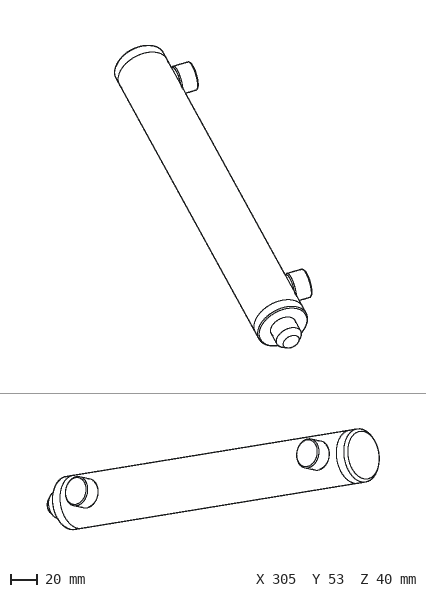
import cadquery as cq

overall_length = 305.0
overall_width = 53.0
barrel_diameter = 40.0
barrel_radius = barrel_diameter / 2

cap_length = 9.5
gland_start = 280.5
gland_end = 288.8
cap_chamfer = 2.0
gland_chamfer = 1.0

rod_diameter = 20.0
rod_tip_diameter = 12.8
rod_taper_length = 4.5

port_diameter = 22.0
port_reach = overall_width - barrel_radius
port_chamfer = 1.0
port_positions = (26.8, 253.8)
port_seat = 19.5


def rod_along_x(start, end, diameter):
    """Plain round bar on the X axis between two X positions."""
    return cq.Workplane("YZ").workplane(offset=start).circle(diameter / 2).extrude(end - start)


def make_port(x):
    """Round port, chamfered at both ends, standing on the barrel."""
    return (
        cq.Workplane("XZ", origin=(x, port_seat, 0))
        .circle(port_diameter / 2)
        .extrude(port_seat - port_reach)
        .faces("<Y or >Y")
        .chamfer(port_chamfer)
    )


def make_end_cap():
    return rod_along_x(0, cap_length, barrel_diameter).faces("<X").chamfer(cap_chamfer)


def make_barrel(ports):
    """Barrel with a shallow seat cut for each port."""
    barrel = rod_along_x(cap_length, gland_start, barrel_diameter)
    for port in ports:
        barrel = barrel.cut(port)
    return barrel


def make_gland():
    """Gland bored through for the rod."""
    return (
        rod_along_x(gland_start, gland_end, barrel_diameter)
        .faces(">X")
        .chamfer(gland_chamfer)
        .cut(rod_along_x(gland_start, gland_end, rod_diameter))
    )


def make_rod():
    """Rod from the barrel end through the gland, tapered at its tip."""
    taper_depth = (rod_diameter - rod_tip_diameter) / 2
    return (
        rod_along_x(gland_start, overall_length, rod_diameter)
        .faces(">X")
        .edges()
        .chamfer(rod_taper_length, taper_depth)
    )


ports = [make_port(x) for x in port_positions]
end_cap = make_end_cap()
barrel = make_barrel(ports)
gland = make_gland()
rod = make_rod()

result = cq.Compound.makeCompound(
    [end_cap.val(), *barrel.vals(), gland.val(), rod.val(), *[port.val() for port in ports]]
)